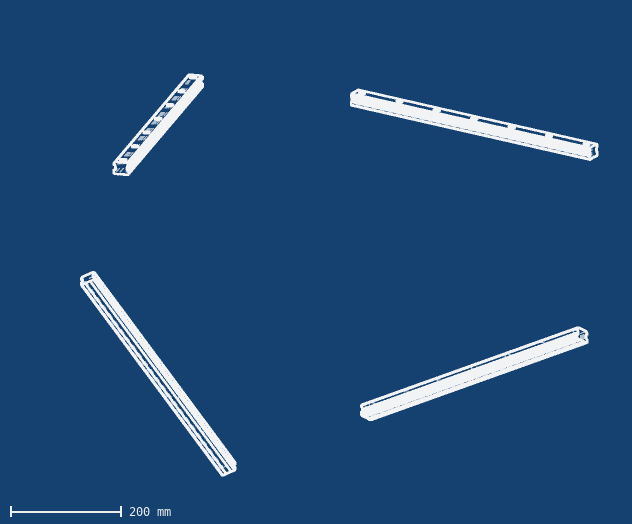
import cadquery as cq

WIDTH = 28.0
LENGTH = 510.0
HEIGHT = 23.0

HALF_WIDTH = WIDTH / 2
NECK_HALF_WIDTH = 11.0
GROOVE_HALF_WIDTH = 10.0
FOOT_LEDGE_HALF_WIDTH = 13.0

FOOT_TOP = 7.0
GROOVE_BOTTOM = 10.0
GROOVE_TOP = 13.5
HEAD_BOTTOM = 17.5

TRACK_RADIUS = 4.0
TRACK_CENTRE_X = 15.5
TRACK_CENTRE_Z = 24.0

LEDGE_FILLET = 0.5
NECK_FILLET = 1.5
BOTTOM_CHAMFER = 2.0

RELIEF_WIDTH = 10.0
RELIEF_DEPTH = 0.5

HOLE_COUNT = 7
HOLE_PITCH = 80.0
HOLE_DIAMETER = 11.0
HOLE_DEPTH = 0.25

REACH = 0.05


def edges_along_rail(x, z):
    """Selector for the two lengthwise edges, whose midpoints lie at (x, 0, z) and (-x, 0, z)."""
    right = cq.selectors.BoxSelector((x - REACH, -REACH, z - REACH), (x + REACH, REACH, z + REACH))
    left = cq.selectors.BoxSelector((-x - REACH, -REACH, z - REACH), (-x + REACH, REACH, z + REACH))
    return right + left


def rail():
    """Extrude the symmetric rail section along Y, then cut the ball tracks and finish the edges."""
    right_side = [
        (HALF_WIDTH, 0),
        (HALF_WIDTH, FOOT_TOP),
        (FOOT_LEDGE_HALF_WIDTH, FOOT_TOP),
        (NECK_HALF_WIDTH, GROOVE_BOTTOM),
        (GROOVE_HALF_WIDTH, GROOVE_BOTTOM),
        (GROOVE_HALF_WIDTH, GROOVE_TOP),
        (NECK_HALF_WIDTH, GROOVE_TOP),
        (NECK_HALF_WIDTH, HEAD_BOTTOM),
        (HALF_WIDTH, HEAD_BOTTOM),
        (HALF_WIDTH, HEIGHT),
    ]
    left_side = [(-x, z) for x, z in reversed(right_side)]
    section = cq.Workplane("XZ").polyline(right_side + left_side).close()
    bar = section.extrude(LENGTH / 2, both=True)

    ball_tracks = (
        cq.Workplane("XZ")
        .pushPoints([(-TRACK_CENTRE_X, TRACK_CENTRE_Z), (TRACK_CENTRE_X, TRACK_CENTRE_Z)])
        .circle(TRACK_RADIUS)
        .extrude(LENGTH / 2, both=True)
    )
    bar = bar.cut(ball_tracks)

    bar = bar.edges(edges_along_rail(HALF_WIDTH, 0)).chamfer(BOTTOM_CHAMFER)
    bar = bar.edges(edges_along_rail(NECK_HALF_WIDTH, HEAD_BOTTOM)).fillet(NECK_FILLET)
    for ledge_height in (FOOT_TOP, HEAD_BOTTOM):
        bar = bar.edges(edges_along_rail(HALF_WIDTH, ledge_height)).fillet(LEDGE_FILLET)
    return bar


def top_recesses():
    """Discs that sink the row of recesses into the top face."""
    return (
        cq.Workplane("XY", origin=(0, 0, HEIGHT - HOLE_DEPTH))
        .rarray(5, HOLE_PITCH, 1, HOLE_COUNT)
        .circle(HOLE_DIAMETER / 2)
        .extrude(HOLE_DEPTH)
    )


def underside_relief():
    """Bar that hollows the middle of the underside over the whole length."""
    return cq.Workplane("XY").rect(RELIEF_WIDTH, LENGTH).extrude(RELIEF_DEPTH)


result = rail().cut(underside_relief()).cut(top_recesses())